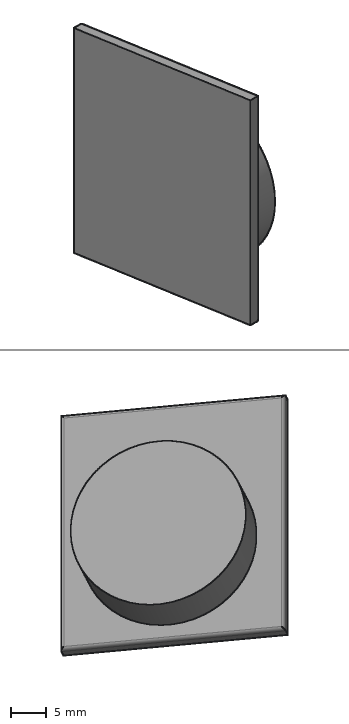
import cadquery as cq

plate_width = 32.0
plate_height = 36.0
plate_thickness = 2.0
edge_round = 0.5

total_depth = 9.0
boss_diameter = 25.0
boss_shift = 0.5
boss_drop = 3.2
boss_length = total_depth - plate_thickness


def make_plate():
    """Rectangular plate with its rear edges rounded."""
    plate = cq.Workplane("XY").box(
        plate_width, plate_thickness, plate_height, centered=(True, False, True)
    )
    return plate.faces(">Y").edges().fillet(edge_round)


def add_boss(plate):
    """Solid cylinder rising from the rear face towards +Y."""
    boss = (
        cq.Workplane("XZ", origin=(boss_shift, plate_thickness, -boss_drop))
        .circle(boss_diameter / 2)
        .extrude(-boss_length)
    )
    return plate.union(boss)


result = add_boss(make_plate())